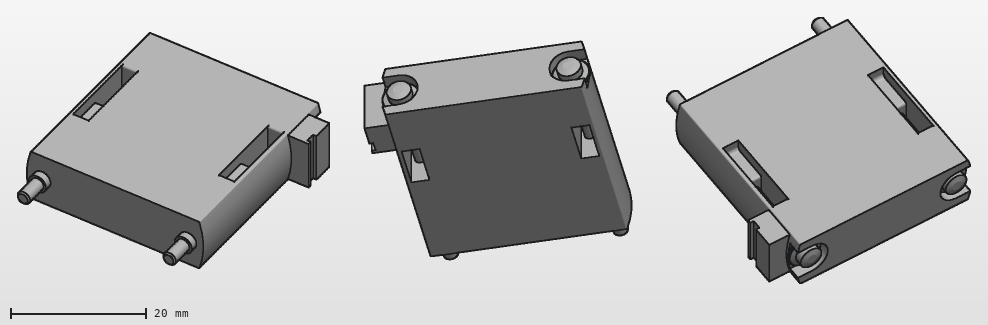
import cadquery as cq


HOUSING_LENGTH = 32.25
HOUSING_HEIGHT = 9.0
HALF_WIDTH = 15.5
SIDE_BOW = 0.7
EDGE_ROUND = 0.25

SCREW_X = 12.78
THREAD_DIAMETER = 2.2
SHANK_DIAMETER = 1.7
TIP_DIAMETER = 1.7
TIP_Y = -5.23
HEAD_DIAMETER = 3.7
HEAD_CROWN = 0.25
HEAD_END_Y = HOUSING_LENGTH + 0.1
HEAD_BASE_Y = 30.82
FLANGE_DIAMETER = 5.7
FLANGE_FACE_DIAMETER = 5.5
FLANGE_FACE_Y = 30.55
FLANGE_SEAT_Y = 30.1

SLEEVE_DIAMETER = 3.0
SLEEVE_PROJECTION = 1.28
SLEEVE_SEAT_DEPTH = 1.28

WINDOW_WIDTH = 2.7
WINDOW_START_Y = 10.53
WINDOW_END_Y = 24.05
LEDGE_END_Y = 16.73
LEDGE_Z = 2.48
LEDGE_CORNER_ROUND = 0.7
LEDGE_EDGE_ROUND = 0.4
WINDOW_END_ROUND = 0.35

CONNECTOR_END_X = 18.5
CONNECTOR_START_Y = 23.9
CONNECTOR_END_Y = 29.6
CONNECTOR_HEIGHT = 8.42
NOTCH_DEPTH = 0.6
NOTCH_START_Y = 24.5
NOTCH_END_Y = 26.05

SIDES = (-1, 1)
HALF_HEIGHT = HOUSING_HEIGHT / 2
CORNER_X = HALF_WIDTH - SIDE_BOW
FLANGE_RADIUS = FLANGE_DIAMETER / 2
FLANGE_CHAMFER = (FLANGE_DIAMETER - FLANGE_FACE_DIAMETER) / 2
TIP_CHAMFER = (THREAD_DIAMETER - TIP_DIAMETER) / 2


def box_between(x_range, y_range, z_range):
    """Box given by its lower and upper limit along each axis."""
    lows, highs = zip(x_range, y_range, z_range)
    sizes = [high - low for low, high in zip(lows, highs)]
    return cq.Workplane("XY").box(*sizes, centered=False).translate(lows)


def cylinder_along_y(diameter, x, start_y, end_y):
    """Cylinder on a screw axis."""
    cylinder = cq.Workplane("XZ").circle(diameter / 2).extrude(start_y - end_y)
    return cylinder.translate((x, start_y, 0))


def make_envelope():
    """Housing block with flat top and bottom and bowed sides."""
    block = (
        cq.Workplane("XZ")
        .moveTo(-CORNER_X, -HALF_HEIGHT)
        .lineTo(CORNER_X, -HALF_HEIGHT)
        .threePointArc((HALF_WIDTH, 0), (CORNER_X, HALF_HEIGHT))
        .lineTo(-CORNER_X, HALF_HEIGHT)
        .threePointArc((-HALF_WIDTH, 0), (-CORNER_X, -HALF_HEIGHT))
        .close()
        .extrude(-HOUSING_LENGTH)
    )
    return block.edges("|Y").fillet(EDGE_ROUND)


def make_window(side):
    """Cutter for the stepped window: a pocket down to the ledge, then an opening right through."""
    profile = (
        cq.Workplane("YZ")
        .moveTo(WINDOW_START_Y, HALF_HEIGHT)
        .lineTo(WINDOW_START_Y, LEDGE_Z + LEDGE_CORNER_ROUND)
        .radiusArc((WINDOW_START_Y + LEDGE_CORNER_ROUND, LEDGE_Z), -LEDGE_CORNER_ROUND)
        .lineTo(LEDGE_END_Y - LEDGE_EDGE_ROUND, LEDGE_Z)
        .radiusArc((LEDGE_END_Y, LEDGE_Z - LEDGE_EDGE_ROUND), LEDGE_EDGE_ROUND)
        .lineTo(LEDGE_END_Y, -HALF_HEIGHT)
        .lineTo(WINDOW_END_Y - WINDOW_END_ROUND, -HALF_HEIGHT)
        .lineTo(WINDOW_END_Y - WINDOW_END_ROUND, HALF_HEIGHT - WINDOW_END_ROUND)
        .radiusArc((WINDOW_END_Y, HALF_HEIGHT), WINDOW_END_ROUND)
        .close()
        .extrude(WINDOW_WIDTH / 2, both=True)
    )
    return profile.translate((side * SCREW_X, 0, 0))


def make_flange_slot(side):
    """Cutter for the U-shaped slot that is open to the side and to the back."""
    axis_x = side * SCREW_X
    round_end = cylinder_along_y(FLANGE_DIAMETER, axis_x, FLANGE_SEAT_Y, HOUSING_LENGTH)
    x_range = sorted((axis_x, side * CONNECTOR_END_X))
    open_end = box_between(
        x_range, (FLANGE_SEAT_Y, HOUSING_LENGTH), (-FLANGE_RADIUS, FLANGE_RADIUS)
    )
    return round_end.union(open_end)


def make_housing(envelope):
    housing = envelope
    for side in SIDES:
        axis_x = side * SCREW_X
        housing = (
            housing.cut(make_window(side))
            .cut(make_flange_slot(side))
            .cut(cylinder_along_y(SHANK_DIAMETER, axis_x, 0, FLANGE_SEAT_Y))
            .cut(cylinder_along_y(SLEEVE_DIAMETER, axis_x, 0, SLEEVE_SEAT_DEPTH))
        )
    return housing


def make_connector(envelope):
    """Notched block whose inner end follows the bowed side of the housing."""
    z_range = (-CONNECTOR_HEIGHT / 2, CONNECTOR_HEIGHT / 2)
    block = box_between(
        (SCREW_X, CONNECTOR_END_X), (CONNECTOR_START_Y, CONNECTOR_END_Y), z_range
    )
    notch = box_between(
        (CONNECTOR_END_X - NOTCH_DEPTH, CONNECTOR_END_X), (NOTCH_START_Y, NOTCH_END_Y), z_range
    )
    return block.cut(notch).cut(envelope)


def make_screw(side):
    """Screw turned about its axis, from the threaded tip to the crowned head."""
    profile = (
        cq.Workplane("XY")
        .moveTo(0, TIP_Y)
        .lineTo(TIP_DIAMETER / 2, TIP_Y)
        .lineTo(THREAD_DIAMETER / 2, TIP_Y + TIP_CHAMFER)
        .lineTo(THREAD_DIAMETER / 2, SLEEVE_SEAT_DEPTH)
        .lineTo(SHANK_DIAMETER / 2, SLEEVE_SEAT_DEPTH)
        .lineTo(SHANK_DIAMETER / 2, FLANGE_SEAT_Y)
        .lineTo(FLANGE_RADIUS, FLANGE_SEAT_Y)
        .lineTo(FLANGE_RADIUS, FLANGE_FACE_Y - FLANGE_CHAMFER)
        .lineTo(FLANGE_FACE_DIAMETER / 2, FLANGE_FACE_Y)
        .lineTo(HEAD_DIAMETER / 2, HEAD_BASE_Y)
        .lineTo(HEAD_DIAMETER / 2, HEAD_END_Y - HEAD_CROWN)
        .lineTo(SHANK_DIAMETER / 2, HEAD_END_Y)
        .lineTo(0, HEAD_END_Y)
        .close()
        .revolve(360, (0, 0, 0), (0, 1, 0))
    )
    return profile.translate((side * SCREW_X, 0, 0))


def make_sleeve(side):
    """Collar around a screw thread, seated in the front of the housing."""
    axis_x = side * SCREW_X
    ends = (-SLEEVE_PROJECTION, SLEEVE_SEAT_DEPTH)
    bore = cylinder_along_y(THREAD_DIAMETER, axis_x, *ends)
    return cylinder_along_y(SLEEVE_DIAMETER, axis_x, *ends).cut(bore)


envelope = make_envelope()
housing = make_housing(envelope)
connector = make_connector(envelope)
screws = [make_screw(side).val() for side in SIDES]
sleeves = [make_sleeve(side).val() for side in SIDES]

result = cq.Compound.makeCompound([housing.val(), connector.val(), *screws, *sleeves])